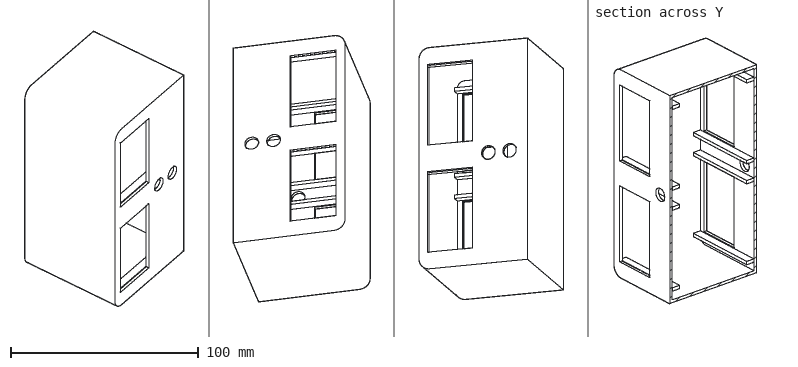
import cadquery as cq

width = 60.0
depth = 61.0
height = 123.0
wall = 2.0
corner_radius = 6.0

window_front = 4.9
window_depth = 25.1
window_height = 44.8
window_pitch = 59.5

hole_diameter = 7.5
hole_positions = (39.0, 50.9)

rail_reach = 4.9
rail_thickness = 2.0
rail_gap = 0.5
rail_end = 46.7


def box_between(x_range, y_range, z_range):
    """Axis-aligned box spanning the given coordinate ranges."""
    spans = [high - low for low, high in (x_range, y_range, z_range)]
    origin = (x_range[0], y_range[0], z_range[0])
    return cq.Workplane("XY").box(*spans, centered=False).translate(origin)


def make_shell():
    """Closed hollow housing with rounded front top and bottom edges."""
    outer = box_between((-width / 2, width / 2), (0, depth), (-height / 2, height / 2))
    outer = outer.edges("|X and <Y").fillet(corner_radius)
    cavity = box_between(
        (wall - width / 2, width / 2 - wall),
        (wall, depth - wall),
        (wall - height / 2, height / 2 - wall),
    )
    cavity = cavity.edges("|X and <Y").fillet(corner_radius - wall)
    return outer.cut(cavity)


def make_rail(side, centre_z):
    """One rail, rooted in a side wall (side is -1 or 1) and in the front wall."""
    root = width / 2 - wall / 2
    tip = width / 2 - wall - rail_reach
    x_range = sorted((side * root, side * tip))
    z_range = (centre_z - rail_thickness / 2, centre_z + rail_thickness / 2)
    return box_between(x_range, (wall / 2, rail_end), z_range)


result = make_shell()

rail_offset = window_height / 2 + rail_gap + rail_thickness / 2
window_centres = (-window_pitch / 2, window_pitch / 2)
for window_z in window_centres:
    for side in (-1, 1):
        for rail_z in (window_z - rail_offset, window_z + rail_offset):
            result = result.union(make_rail(side, rail_z))

for window_z in window_centres:
    window = box_between(
        (-width / 2, width / 2),
        (window_front, window_front + window_depth),
        (window_z - window_height / 2, window_z + window_height / 2),
    )
    result = result.cut(window)

for hole_y in hole_positions:
    hole = (
        cq.Workplane("YZ", origin=(-width / 2, hole_y, 0))
        .circle(hole_diameter / 2)
        .extrude(width)
    )
    result = result.cut(hole)